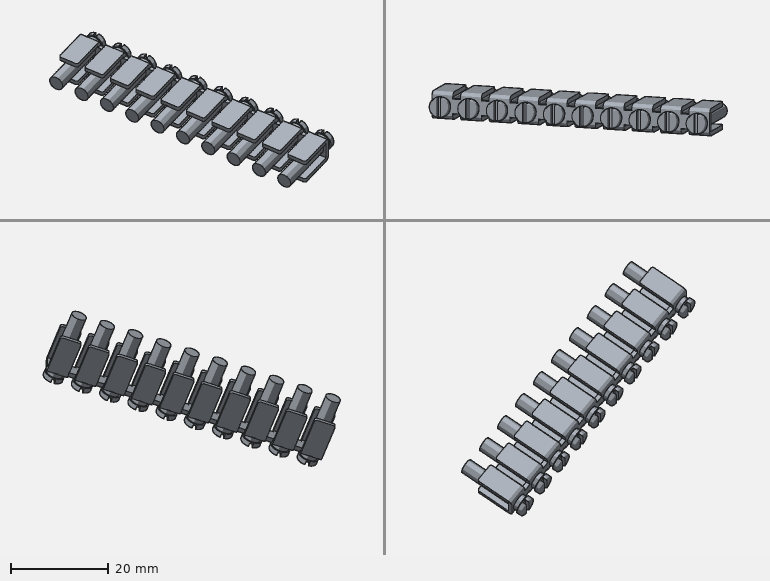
import cadquery as cq

total_length = 60.3
total_depth = 15.8
total_height = 5.8

clip_count = 10
clip_width = 4.5
pitch = (total_length - clip_width) / (clip_count - 1)

sheet = 0.95
leg_length = 8.85
bend_radius = 1.1
corner_radius = 0.5
strip_height = 3.1

shank_diameter = 3.2
neck_diameter = 3.6
head_diameter = 4.3
head_length = 1.25
head_rounding = 0.3
neck_length = 1.1
slot_width = 0.8
slot_depth = 0.9

head_top = neck_length + head_length
shank_tip = head_top - total_depth


def make_clip():
    """U of sheet metal with rounded bends and rounded free leg corners."""
    block = (
        cq.Workplane("XY")
        .box(clip_width, leg_length, total_height)
        .translate((0, -leg_length / 2, 0))
        .edges("|X and >Y")
        .fillet(bend_radius)
        .edges("|Z and <Y")
        .fillet(corner_radius)
    )
    opening = (
        cq.Workplane("XY")
        .box(clip_width, leg_length, total_height - 2 * sheet)
        .translate((0, -leg_length / 2 - sheet, 0))
    )
    return block.cut(opening)


def cylinder_along_y(diameter, y_start, y_end):
    """Round bar on the Y axis between two Y positions."""
    return cq.Workplane("XZ", origin=(0, y_end, 0)).circle(diameter / 2).extrude(y_end - y_start)


def make_screw():
    """Shank, neck and slotted head on one axis."""
    shank = cylinder_along_y(shank_diameter, shank_tip, 0)
    neck = cylinder_along_y(neck_diameter, -sheet / 2, neck_length)
    head = cylinder_along_y(head_diameter, neck_length, head_top)
    head = head.faces(">Y").edges().fillet(head_rounding)
    slot = (
        cq.Workplane("XY")
        .box(slot_width, slot_depth, head_diameter)
        .translate((0, head_top - slot_depth / 2, 0))
    )
    return shank.union(neck).union(head.cut(slot))


result = cq.Workplane("XY").box(total_length, sheet, strip_height).translate((0, -sheet / 2, 0))

terminal = make_clip().union(make_screw())
for index in range(clip_count):
    x = (index - (clip_count - 1) / 2) * pitch
    result = result.union(terminal.translate((x, 0, 0)))